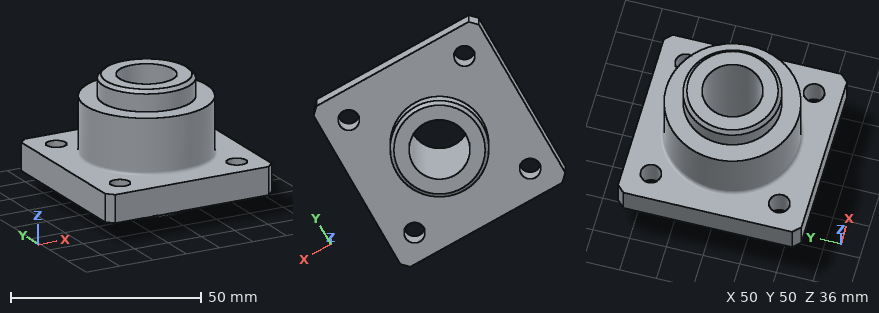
import cadquery as cq

flange_side = 50
flange_thickness = 8
corner_chamfer = 2

hole_diameter = 5.5
hole_spacing = 35

bushing_diameter = 26
bushing_length = 36
bushing_chamfer = 1
bore_diameter = 16
bushing_overhang = 6

collar_diameter = 36
collar_fillet = 1

flange_bottom = bushing_overhang
flange_top = flange_bottom + flange_thickness
collar_height = bushing_length - bushing_overhang - flange_top


def make_flange():
    return (
        cq.Workplane("XY")
        .workplane(offset=flange_bottom)
        .rect(flange_side, flange_side)
        .extrude(flange_thickness)
        .edges("|Z")
        .chamfer(corner_chamfer)
    )


def add_collar(body):
    with_collar = body.union(
        cq.Workplane("XY")
        .workplane(offset=flange_top)
        .circle(collar_diameter / 2)
        .extrude(collar_height)
    )
    return with_collar.edges("%CIRCLE").edges("<Z").fillet(collar_fillet)


def make_bushing():
    return (
        cq.Workplane("XY")
        .circle(bushing_diameter / 2)
        .extrude(bushing_length)
        .edges("%CIRCLE")
        .chamfer(bushing_chamfer)
    )


def cut_bore(body):
    bore = cq.Workplane("XY").circle(bore_diameter / 2).extrude(bushing_length)
    return body.cut(bore)


def cut_mounting_holes(body):
    holes = (
        cq.Workplane("XY")
        .workplane(offset=flange_bottom)
        .rect(hole_spacing, hole_spacing, forConstruction=True)
        .vertices()
        .circle(hole_diameter / 2)
        .extrude(flange_thickness)
    )
    return body.cut(holes)


flange_with_collar = add_collar(make_flange())
result = cut_mounting_holes(cut_bore(flange_with_collar.union(make_bushing())))